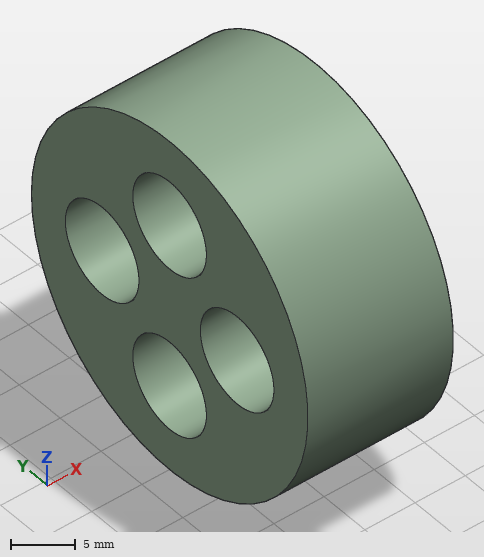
import cadquery as cq

disc_diameter = 33.8
disc_thickness = 14.5

hole_count = 4
hole_diameter = 9.0
hole_circle_radius = 8.25

disc = cq.Workplane("YZ").circle(disc_diameter / 2).extrude(disc_thickness)

holes = (
    cq.Workplane("YZ")
    .polarArray(hole_circle_radius, 0, 360, hole_count)
    .circle(hole_diameter / 2)
    .extrude(disc_thickness)
)

result = disc.cut(holes)